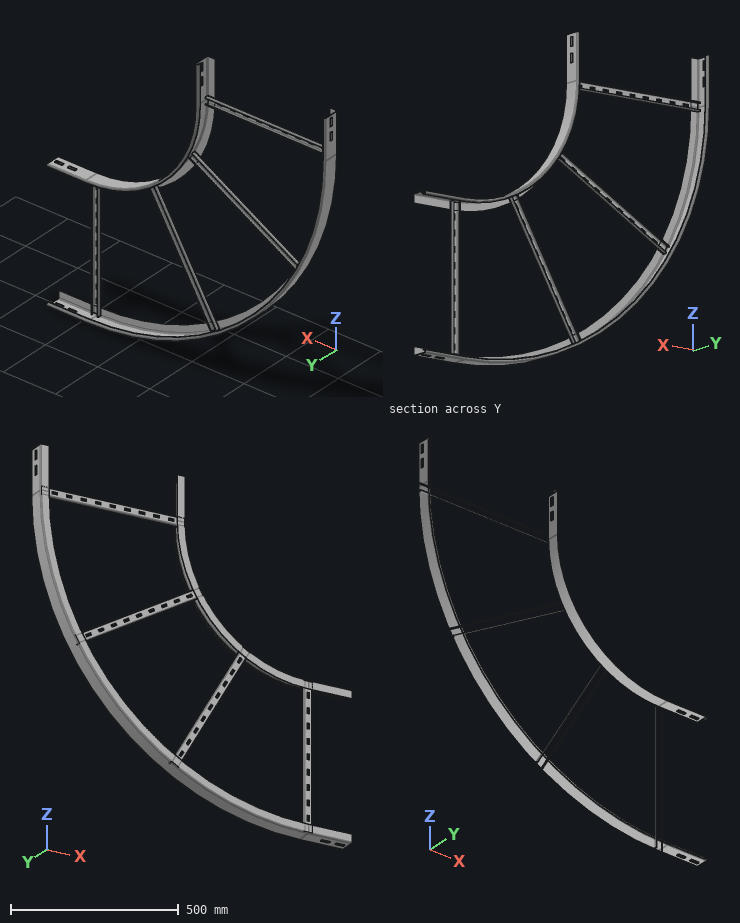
import cadquery as cq
import math


sheet = 2.0

overall_size = 1070
straight_length = 150
outer_rail_radius = overall_size - straight_length
ladder_width = 500.0
inner_rail_radius = outer_rail_radius - ladder_width
rail_height = 60.0
front_flange = 30.0
back_flange = 12.0
back_lip = 12.0
rail_fold = 3.7
slot_pitch = ladder_width / 10

rail_slot_length = 29.0
rail_slot_width = 10.0
rail_slot_from_end = 26.0
rail_slot_count = 2

rung_width = 30.0
rung_gap = 4.8
rung_depth = 15.0
rung_lip = 5.0
rung_fold = 3.0
rung_slot_length = 18.0
rung_slot_width = 7.0
rung_slot_count = 9
rung_angles = (0, 30, 60, 90)


def step(point, *moves):
    """Move a point by each (direction, distance) in turn."""
    x, y = point
    for (dx, dy), distance in moves:
        x += dx * distance
        y += dy * distance
    return x, y


def folded_sheet(workplane, skin, fold):
    """Closed section of a folded sheet.

    `skin` is the path of the outside skin with sharp corners, and `fold` the outside fold radius.
    All folds are right angles turning the same way, so the sheet is on the side they turn to.
    """
    headings = []
    for start, end in zip(skin, skin[1:]):
        length = math.dist(start, end)
        headings.append(((end[0] - start[0]) / length, (end[1] - start[1]) / length))
    folds = list(zip(skin[1:-1], headings, headings[1:]))

    section = workplane.moveTo(*skin[0])
    for corner, before, after in folds:
        section = section.lineTo(*step(corner, (before, -fold)))
        section = section.tangentArcPoint(step(corner, (after, fold)), relative=False)
    section = section.lineTo(*skin[-1])
    section = section.lineTo(*step(skin[-1], (headings[-2], -sheet)))
    for corner, before, after in reversed(folds):
        section = section.lineTo(*step(corner, (after, fold), (before, -sheet)))
        section = section.tangentArcPoint(step(corner, (before, -fold), (after, sheet)), relative=False)
    return section.lineTo(*step(skin[0], (headings[1], sheet))).close()


def rail_end(skin, web_radius):
    """Straight end of a rail, running up from Z = 0, with its slots through the web."""
    end = folded_sheet(cq.Workplane("XY"), skin, rail_fold).extrude(straight_length)
    for i in range(rail_slot_count):
        slot_height = straight_length - rail_slot_from_end - i * slot_pitch
        slot = cq.Workplane("XY").box(4 * sheet, rail_slot_width, rail_slot_length)
        end = end.cut(slot.translate((-web_radius, rail_height / 2, slot_height)))
    return end


def rail(web_radius, flange_side):
    """Quarter-circle rail with two straight ends.

    The outside skin of the web is at `web_radius`. The flanges point to the bend centre when
    `flange_side` is 1 and away from it when it is -1.
    """
    web = -web_radius
    skin = [
        (web + flange_side * front_flange, 0),
        (web, 0),
        (web, rail_height),
        (web + flange_side * back_flange, rail_height),
        (web + flange_side * back_flange, rail_height - back_lip),
    ]
    curve = folded_sheet(cq.Workplane("XY"), skin, rail_fold).revolve(90, (0, 0, 0), (0, -1, 0))
    upright_end = rail_end(skin, web_radius)
    level_end = upright_end.mirror("XY").rotate((0, 0, 0), (0, 1, 0), -90)
    return curve.union(upright_end, clean=False).union(level_end, clean=False)


def rung():
    """Slotted, lipped channel along -X, lying on the front flanges clear of the folds of the rails."""
    half_width = rung_width / 2
    outer_end = math.sqrt((outer_rail_radius - rung_gap) ** 2 - half_width**2)
    inner_end = inner_rail_radius + rung_gap
    front = sheet
    back = front + rung_depth
    lip_edge = half_width - rung_lip
    skin = [
        (back, lip_edge),
        (back, half_width),
        (front, half_width),
        (front, -half_width),
        (back, -half_width),
        (back, -lip_edge),
    ]
    channel = folded_sheet(cq.Workplane("YZ", origin=(-outer_end, 0, 0)), skin, rung_fold)
    channel = channel.extrude(outer_end - inner_end)

    ladder_middle = (outer_rail_radius + inner_rail_radius) / 2
    slots = (
        cq.Workplane("XZ", origin=(-ladder_middle, front, 0))
        .rarray(slot_pitch, 11, rung_slot_count, 1)
        .rect(rung_slot_length, rung_slot_width)
        .extrude(-2 * sheet)
    )
    return channel.cut(slots)


outer_rail = rail(outer_rail_radius, 1)
inner_rail = rail(inner_rail_radius, -1)
rungs = [rung().rotate((0, 0, 0), (0, 1, 0), -angle) for angle in rung_angles]

result = cq.Compound.makeCompound([outer_rail.val(), inner_rail.val(), *[bar.val() for bar in rungs]])